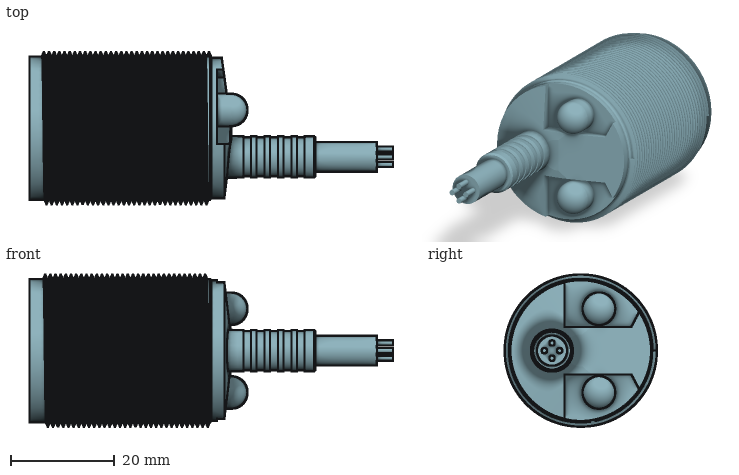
import cadquery as cq
import math

housing_length = 35.0
barrel_radius = 27.65 / 2
barrel_chamfer = 0.3
thread_radius = 29.3 / 2
thread_start = 2.8
thread_length = 31.8
thread_turns = 32
thread_pitch = thread_length / thread_turns
thread_base = 0.8
thread_sink = 0.1

cap_radius = barrel_radius - barrel_chamfer
cap_rim_x = 37.5
crown_x = 38.85
crown_radius = 3.1
facet_start_y = 0.35
facet_rim_x = 37.0

pocket_floor_x = 36.1
pocket_inner_z = 4.55
pocket_low_y = -3.1
pocket_high_y = 9.7
pocket_rim_y = 11.3
lamp_radius = 3.15
lamp_y = 3.5
lamp_z = 8.05

relief_y = -5.5
relief_root_radius = 8.25 / 2
relief_radius = 8.0 / 2
groove_start = 41.15
groove_width = 1.5
groove_pitch = 2.6
groove_depth = 0.2
groove_count = 5
relief_end = 55.1
relief_chamfer = 0.35

cable_radius = 5.8 / 2
cable_end = 66.85
wire_radius = 1.05 / 2
wire_circle_radius = 1.5
wire_count = 4
wire_end = 70.0


def rod(start, end, radius, y=0.0, z=0.0):
    """Cylinder along X between two X positions."""
    return cq.Workplane("YZ", origin=(start, y, z)).circle(radius).extrude(end - start)


def turned(points):
    """Solid turned about the X axis from (X, radius) points."""
    return cq.Workplane("XY").polyline(points).close().revolve(360, (0, 0, 0), (1, 0, 0))


def make_thread():
    """Right-handed triangular ridge whose helix starts on the +Y side."""
    root_radius = barrel_radius - thread_sink
    helix = cq.Wire.makeHelix(thread_pitch, thread_length, root_radius)
    ridge = (
        cq.Workplane("XZ")
        .polyline([
            (root_radius, -thread_base / 2),
            (thread_radius, 0),
            (root_radius, thread_base / 2),
        ])
        .close()
        .sweep(cq.Workplane(obj=helix), isFrenet=True)
    )
    return ridge.rotate((0, 0, 0), (1, 1, 1), 120).translate((thread_start, 0, 0))


def make_housing():
    barrel = rod(0, housing_length, barrel_radius).faces(">X").chamfer(barrel_chamfer)
    return barrel.union(make_thread())


def make_lamp_pocket(side):
    """Cutter for the pocket on the +Z side (side = 1) or the -Z side (side = -1)."""
    rim_z = math.sqrt(cap_radius**2 - pocket_rim_y**2)
    wall_slope = (pocket_rim_y - pocket_high_y) / (rim_z - pocket_inner_z)
    outer_z = cap_radius + 0.7
    outer_y = pocket_high_y + wall_slope * (outer_z - pocket_inner_z)
    return (
        cq.Workplane("YZ", origin=(pocket_floor_x, 0, 0))
        .polyline([
            (pocket_low_y, side * pocket_inner_z),
            (pocket_high_y, side * pocket_inner_z),
            (outer_y, side * outer_z),
            (pocket_low_y, side * outer_z),
        ])
        .close()
        .extrude(crown_x - pocket_floor_x)
    )


def make_facet_cutter():
    """Wedge that leaves a plane sloping from the crown down to the +Y rim."""
    return (
        cq.Workplane("XY")
        .polyline([(crown_x, facet_start_y), (facet_rim_x, cap_radius), (crown_x, cap_radius)])
        .close()
        .extrude(cap_radius, both=True)
    )


def make_lamp(side):
    """Round-ended lamp standing on the pocket floor."""
    centre_z = side * lamp_z
    stem = rod(pocket_floor_x, crown_x, lamp_radius, lamp_y, centre_z)
    dome = cq.Workplane("XY").sphere(lamp_radius).translate((crown_x, lamp_y, centre_z))
    return stem.union(dome)


def make_strain_relief():
    """Tapered root and grooved sleeve, starting inside the cap."""
    relief = turned([
        (housing_length, 0),
        (housing_length, relief_root_radius),
        (groove_start, relief_radius),
        (relief_end - relief_chamfer, relief_radius),
        (relief_end, relief_radius - relief_chamfer),
        (relief_end, 0),
    ])
    for index in range(groove_count):
        start = groove_start + index * groove_pitch
        end = start + groove_width
        ring = rod(start, end, relief_root_radius).cut(rod(start, end, relief_radius - groove_depth))
        relief = relief.cut(ring)
    return relief.translate((0, relief_y, 0))


def make_end_cap():
    cap = turned([
        (housing_length, 0),
        (housing_length, cap_radius),
        (cap_rim_x, cap_radius),
        (crown_x, crown_radius),
        (crown_x, 0),
    ])
    cap = cap.cut(make_facet_cutter())
    for side in (1, -1):
        cap = cap.cut(make_lamp_pocket(side)).union(make_lamp(side))
    return cap.union(make_strain_relief())


def make_cable():
    """Jacket with the bare wires standing out of its end."""
    cable = rod(relief_end, cable_end, cable_radius, relief_y)
    for index in range(wire_count):
        angle = 2 * math.pi * index / wire_count
        wire_y = relief_y + wire_circle_radius * math.cos(angle)
        wire_z = wire_circle_radius * math.sin(angle)
        cable = cable.union(rod(cable_end, wire_end, wire_radius, wire_y, wire_z))
    return cable


housing = make_housing()
end_cap = make_end_cap()
cable = make_cable()

result = cq.Compound.makeCompound([housing.solids().val(), end_cap.solids().val(), cable.solids().val()])